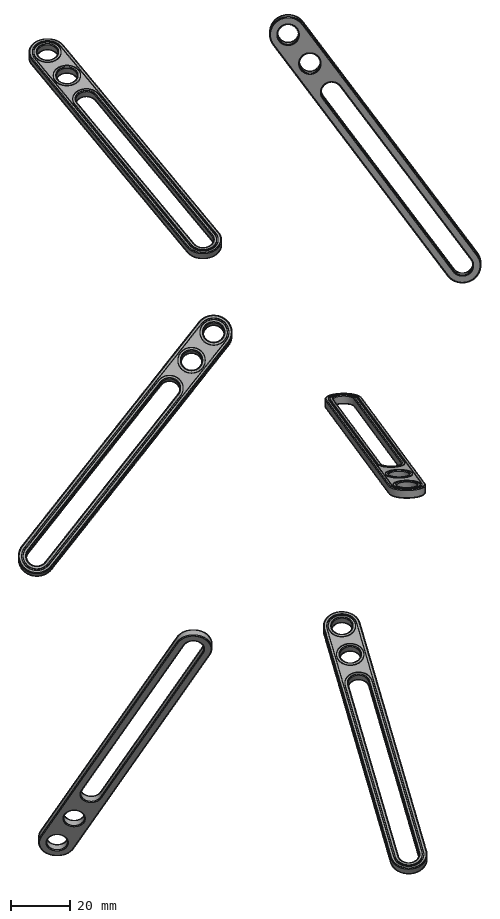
import cadquery as cq

length = 112.5
pitch_count = 9
opening_width = 7.0
lip_width = 1.1
recess_depth = 0.2
edge_chamfer = 0.3

pitch = length / pitch_count
width = pitch
thickness = pitch / 4
half_thickness = thickness / 2

first_hole_x = (pitch - length) / 2
second_hole_x = first_hole_x + pitch
slot_start_x = second_hole_x + pitch
slot_end_x = -first_hole_x

openings = [
    (first_hole_x, first_hole_x),
    (second_hole_x, second_hole_x),
    (slot_start_x, slot_end_x),
]


def rounded_bar(start_x, end_x, bar_width, height):
    """Round-ended bar hanging below the top face, a plain cylinder when its ends coincide."""
    plane = cq.Workplane("XY", origin=((start_x + end_x) / 2, 0, half_thickness))
    if start_x == end_x:
        outline = plane.circle(bar_width / 2)
    else:
        outline = plane.slot2D(end_x - start_x + bar_width, bar_width)
    return outline.extrude(-height)


def perforated_bar():
    """Bar with the holes and the slot, all edges of its two flat faces chamfered."""
    bar = rounded_bar(first_hole_x, slot_end_x, width, thickness)
    for start_x, end_x in openings:
        bar = bar.cut(rounded_bar(start_x, end_x, opening_width, thickness))
    return bar.faces("<Z or >Z").edges().chamfer(edge_chamfer)


def top_recess():
    """Shallow pocket in the top face that leaves the outer lip and the opening lips standing."""
    pocket = rounded_bar(first_hole_x, slot_end_x, width - 2 * lip_width, recess_depth)
    for start_x, end_x in openings:
        pocket = pocket.cut(rounded_bar(start_x, end_x, opening_width + 2 * lip_width, recess_depth))
    return pocket


result = perforated_bar().cut(top_recess())